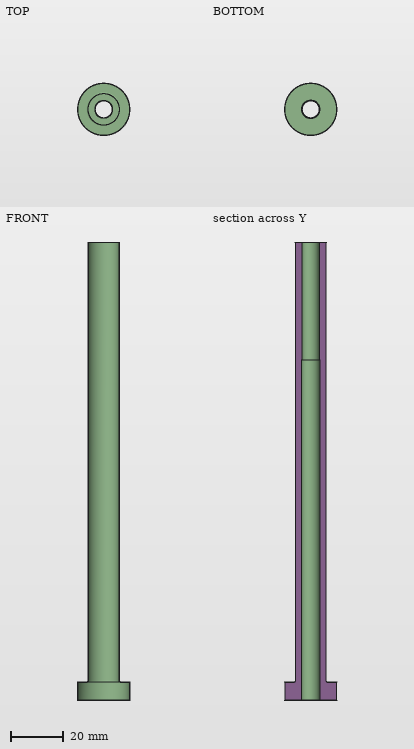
import cadquery as cq

total_length = 175.0
head_diameter = 20.0
head_height = 7.0
tube_diameter = 12.0
root_fillet_radius = 0.5

guide_bore_diameter = 6.5
guide_length = 45.0
relief_bore_diameter = 7.0
relief_length = total_length - guide_length


def cylinder(diameter, length):
    """Cylinder on the Z axis, rising from the underside of the head."""
    return cq.Workplane("XY").circle(diameter / 2).extrude(length)


def make_body():
    """Head and tube, with a fillet in the corner where they meet."""
    head = cylinder(head_diameter, head_height)
    tube = cylinder(tube_diameter, total_length)
    shoulder = head.union(tube).faces(">Z[-2]")
    tube_root = shoulder.edges(cq.selectors.RadiusNthSelector(0))
    return tube_root.fillet(root_fillet_radius)


def cut_bores(body):
    """Guide bore right through, opened out from the head end by the relief bore."""
    guide_bore = cylinder(guide_bore_diameter, total_length)
    relief_bore = cylinder(relief_bore_diameter, relief_length)
    return body.cut(guide_bore).cut(relief_bore)


result = cut_bores(make_body())